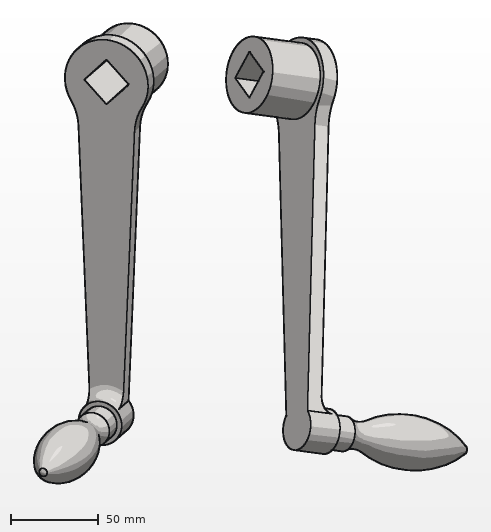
import cadquery as cq
import math

head_radius = 25.0
hub_radius = 22.0
hub_length = 34.0
square_side = 18.8

arm_thickness = 10.0
arm_length = 200.0
arm_top_half_width = 18.0
arm_end_half_width = 9.6
head_blend_radius = 30.1

boss_radius = 13.0
boss_length = 21.0
boss_blend_radius = 7.5

collar_radius = 10.1
collar_length = 13.0
neck_radius = 8.0
neck_taper_length = 8.0
neck_flare_length = 7.0
grip_start_radius = 9.2
grip_radius = 16.0
grip_peak_distance = 30.4
grip_length = 71.0
tip_radius = 2.5
tip_height = 1.0


def cylinder(radius, start, length, z=0):
    """Cylinder along -Y that starts at Y = -start."""
    plane = cq.Workplane("XZ", origin=(0, -start, z))
    return plane.circle(radius).extrude(length)


def arm_prism(depth):
    """Tapered arm outline, extruded forward from the back face."""
    outline = [
        (-arm_top_half_width, 0),
        (arm_top_half_width, 0),
        (arm_end_half_width, -arm_length),
        (-arm_end_half_width, -arm_length),
    ]
    return cq.Workplane("XZ").polyline(outline).close().extrude(depth)


def arm_with_head():
    plate = arm_prism(arm_thickness).union(cylinder(head_radius, 0, arm_thickness))
    corner_zone = cq.selectors.BoxSelector(
        (-head_radius, -arm_thickness, -head_radius),
        (head_radius, 0, -head_radius / 2),
    )
    return plate.edges("|Y").edges(corner_zone).fillet(head_blend_radius)


def revolve_on_handle_axis(profile):
    """Turn a closed (radius, Y) profile about the handle axis."""
    return profile.close().revolve(360, (0, 0, 0), (0, 1, 0))


def boss_blend():
    """Concave ring between boss and arm, kept only within the arm's width."""
    front = -arm_thickness
    outer = boss_radius + boss_blend_radius
    end = front - boss_blend_radius
    mid_offset = boss_blend_radius * math.sqrt(0.5)
    profile = (
        cq.Workplane("XY", origin=(0, 0, -arm_length))
        .moveTo(0, front)
        .lineTo(outer, front)
        .threePointArc((outer - mid_offset, end + mid_offset), (boss_radius, end))
        .lineTo(0, end)
    )
    return revolve_on_handle_axis(profile).intersect(arm_prism(boss_length))


def waist_arc_point(end_radius, length, neck, side):
    """Middle point of the arc that leaves the neck parallel to the handle axis."""
    rise = end_radius - neck_radius
    arc_radius = (length**2 + rise**2) / (2 * rise)
    half_angle = math.asin(length / arc_radius) / 2
    radius = neck_radius + arc_radius * (1 - math.cos(half_angle))
    return radius, neck + side * arc_radius * math.sin(half_angle)


def handle():
    collar_end = -boss_length - collar_length
    neck = collar_end - neck_taper_length
    grip_start = neck - neck_flare_length
    grip_peak = grip_start - grip_peak_distance
    grip_end = grip_start - grip_length
    profile = (
        cq.Workplane("XY", origin=(0, 0, -arm_length))
        .moveTo(0, -boss_length)
        .lineTo(collar_radius, -boss_length)
        .lineTo(collar_radius, collar_end)
        .threePointArc(waist_arc_point(collar_radius, neck_taper_length, neck, 1), (neck_radius, neck))
        .threePointArc(
            waist_arc_point(grip_start_radius, neck_flare_length, neck, -1),
            (grip_start_radius, grip_start),
        )
        .threePointArc((grip_radius, grip_peak), (tip_radius, grip_end))
        .lineTo(0, grip_end - tip_height)
    )
    return revolve_on_handle_axis(profile)


hub = cylinder(hub_radius, -hub_length, hub_length)
boss = cylinder(boss_radius, 0, boss_length, -arm_length)
socket = (
    cq.Workplane("XZ", origin=(0, hub_length, 0))
    .transformed(rotate=(0, 0, 45))
    .rect(square_side, square_side)
    .extrude(hub_length + arm_thickness)
)

result = arm_with_head().union(hub).union(boss).union(boss_blend()).union(handle()).cut(socket)